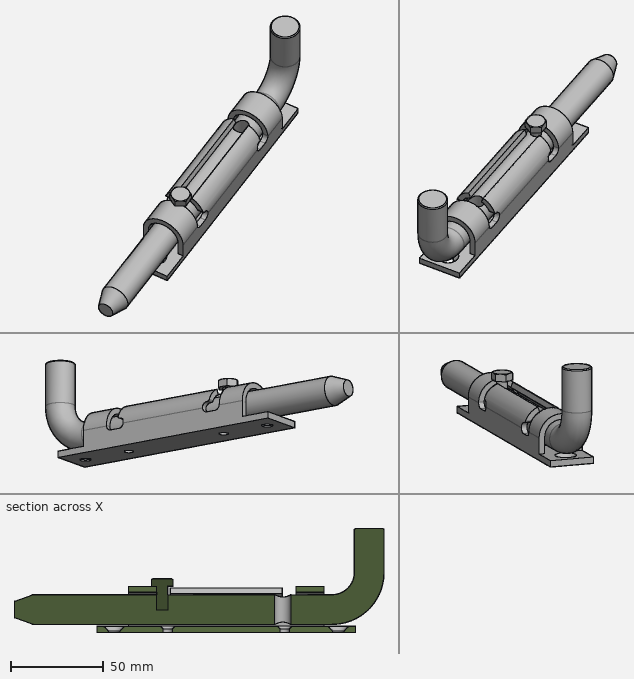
import cadquery as cq
import math


bracket_width = 25.0
overall_height = 56.5
axis_height = bracket_width / 2
plate_length = 140.0
plate_thickness = 3.5
cover_length = 106.0
cover_wall = 3.2
cover_outer_radius = bracket_width / 2
cover_inner_radius = cover_outer_radius - cover_wall
cutter_top_z = cover_outer_radius + 2.0

notch_inner_y = 30.5
notch_outer_y = 37.5
hook_bottom_z = -2.5
hook_radius = 3.0
hook_top_z = hook_bottom_z + 2 * hook_radius
notch_corner_radius = 1.0
hook_center_y = notch_inner_y - notch_corner_radius

slot_outer_width = 9.0

inner_hole_y = 31.5
inner_hole_diameter = 5.0
inner_countersink_diameter = 8.0
outer_hole_y = 60.5
outer_hole_diameter = 6.0
outer_countersink_diameter = 11.5
countersink_angle = 90

rod_radius = 8.1
rod_tip_y = -114.5
rod_length = 200.0
tip_length = 10.0
tip_radius = 4.5
bend_radius = 20.0
handle_top_z = overall_height - axis_height
handle_chamfer = 0.5
handle_y = rod_tip_y + rod_length - rod_radius
access_hole_y = 30.5
access_hole_diameter = 8.8

screw_y = -34.5
shank_diameter = 6.0
head_across_flats = 10.2
head_height = 4.2
head_crown_drop = 0.5
head_bottom_z = cover_outer_radius


def make_cover():
    """Arched sheet cover standing on the base plate."""
    foot_z = plate_thickness - axis_height

    def arch(radius):
        return (
            cq.Workplane("XZ", origin=(0, cover_length / 2, 0))
            .moveTo(-radius, foot_z)
            .lineTo(-radius, 0)
            .threePointArc((0, radius), (radius, 0))
            .lineTo(radius, foot_z)
            .close()
            .extrude(cover_length)
        )

    return arch(cover_outer_radius).cut(arch(cover_inner_radius))


def make_notch(side):
    """Cutter for the hooked notch on the +Y (side = 1) or -Y (side = -1) half."""
    hook_mid_z = hook_bottom_z + hook_radius
    diagonal = math.sqrt(0.5)

    def at(y, z):
        return (side * y, z)

    corner_z = hook_top_z + notch_corner_radius
    corner_mid = at(
        hook_center_y + notch_corner_radius * diagonal,
        corner_z - notch_corner_radius * diagonal,
    )
    foot_y = notch_outer_y - hook_radius
    foot_mid = at(foot_y + hook_radius * diagonal, hook_mid_z - hook_radius * diagonal)
    return (
        cq.Workplane("YZ")
        .moveTo(*at(notch_inner_y, cutter_top_z))
        .lineTo(*at(notch_inner_y, corner_z))
        .threePointArc(corner_mid, at(hook_center_y, hook_top_z))
        .threePointArc(at(hook_center_y - hook_radius, hook_mid_z), at(hook_center_y, hook_bottom_z))
        .lineTo(*at(foot_y, hook_bottom_z))
        .threePointArc(foot_mid, at(notch_outer_y, hook_mid_z))
        .lineTo(*at(notch_outer_y, cutter_top_z))
        .close()
        .extrude(bracket_width, both=True)
    )


def make_guide_slot():
    """Wedge-shaped cutter that joins the two notches along the top of the cover."""
    half_angle = math.asin(slot_outer_width / 2 / cover_outer_radius)
    top_x = cutter_top_z * math.tan(half_angle)
    return (
        cq.Workplane("XZ", origin=(0, notch_inner_y, 0))
        .polyline([(0, 0), (top_x, cutter_top_z), (-top_x, cutter_top_z)])
        .close()
        .extrude(2 * notch_inner_y)
    )


def drill_mounting_holes(plate, hole_y, diameter, rim_diameter):
    """Drill a countersunk hole at hole_y on either side of the plate centre."""
    return (
        plate.faces(">Z")
        .workplane(origin=(0, 0, 0))
        .pushPoints([(0, -hole_y), (0, hole_y)])
        .cskHole(diameter, rim_diameter, countersink_angle)
    )


def make_bracket():
    plate = (
        cq.Workplane("XY", origin=(0, 0, -axis_height))
        .rect(bracket_width, plate_length)
        .extrude(plate_thickness)
    )
    plate = drill_mounting_holes(plate, inner_hole_y, inner_hole_diameter, inner_countersink_diameter)
    plate = drill_mounting_holes(plate, outer_hole_y, outer_hole_diameter, outer_countersink_diameter)
    cover = make_cover().cut(make_guide_slot())
    for side in (-1, 1):
        cover = cover.cut(make_notch(side))
    return plate.union(cover)


def make_screw():
    """Hex screw with its corners along Y and its shank ending at the rod axis."""
    corner_radius = head_across_flats / math.sqrt(3)
    head_top_z = head_bottom_z + head_height
    quarter_turn = 90
    crown_radius = head_across_flats / 2
    head = (
        cq.Workplane("XY", origin=(0, screw_y, head_bottom_z))
        .transformed(rotate=(0, 0, quarter_turn))
        .polygon(6, 2 * corner_radius)
        .extrude(head_height)
    )
    crown = (
        cq.Workplane("XZ", origin=(0, screw_y, 0))
        .moveTo(0, head_bottom_z)
        .lineTo(corner_radius, head_bottom_z)
        .lineTo(corner_radius, head_top_z - head_crown_drop)
        .lineTo(crown_radius, head_top_z)
        .lineTo(0, head_top_z)
        .close()
        .revolve(360, (0, 0, 0), (0, 1, 0))
    )
    shank = (
        cq.Workplane("XY", origin=(0, screw_y, 0))
        .circle(shank_diameter / 2)
        .extrude(head_bottom_z)
    )
    return head.intersect(crown).union(shank)


def make_rod(screw):
    """Cranked rod with a tapered tip, an access hole and a seat for the screw."""
    path = (
        cq.Workplane("YZ")
        .moveTo(rod_tip_y + tip_length, 0)
        .lineTo(handle_y - bend_radius, 0)
        .tangentArcPoint((handle_y, bend_radius), relative=False)
        .lineTo(handle_y, handle_top_z)
    )
    bar = (
        cq.Workplane("XZ", origin=(0, rod_tip_y + tip_length, 0))
        .circle(rod_radius)
        .sweep(path)
        .faces(">Z")
        .chamfer(handle_chamfer)
    )
    tip = (
        cq.Workplane("XY")
        .moveTo(0, rod_tip_y)
        .lineTo(tip_radius, rod_tip_y)
        .lineTo(rod_radius, rod_tip_y + tip_length)
        .lineTo(0, rod_tip_y + tip_length)
        .close()
        .revolve(360, (0, 0, 0), (0, 1, 0))
    )
    access_hole = (
        cq.Workplane("XY", origin=(0, access_hole_y, 0))
        .circle(access_hole_diameter / 2)
        .extrude(2 * rod_radius, both=True)
    )
    return bar.union(tip).cut(access_hole).cut(screw)


bracket = make_bracket()
screw = make_screw()
rod = make_rod(screw)

result = cq.Compound.makeCompound([bracket.solids().val(), rod.solids().val(), screw.solids().val()])